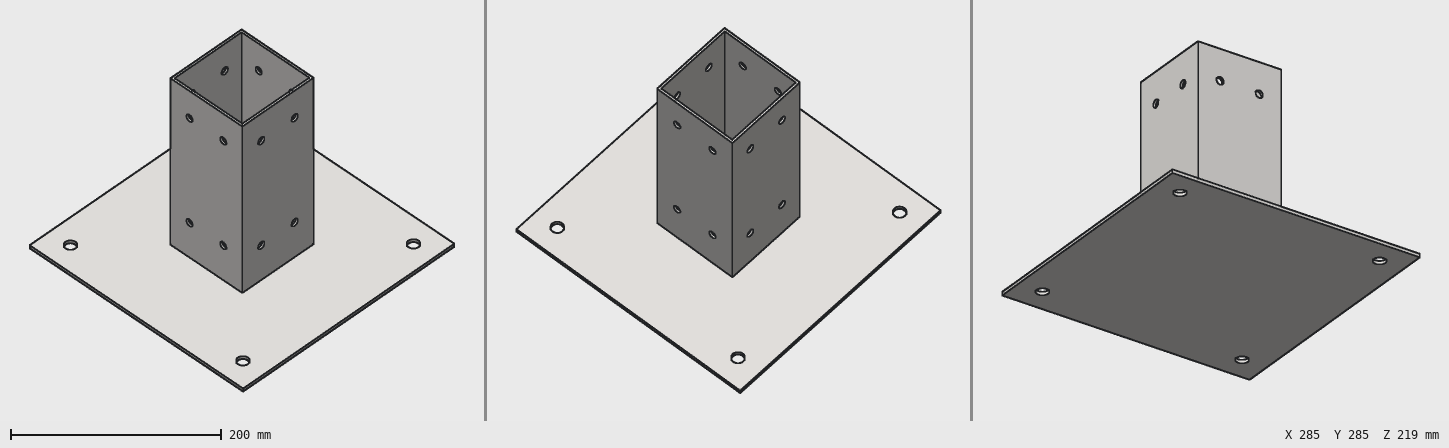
import cadquery as cq

plate_side = 285.0
plate_thickness = 4.0
anchor_spacing = 230.0
anchor_diameter = 13.0

total_height = 219.0
socket_side = 96.0
wall = 2.8
inner_side = socket_side - 2 * wall
socket_height = total_height - plate_thickness

bead_radius = 2.5

bolt_diameter_along_y = 8.3
bolt_diameter_along_x = 8.5
bolt_spacing = 45.0
bolt_row_spacing = 135.0
lower_row_height = 48.7
bolt_row_centre = lower_row_height + bolt_row_spacing / 2


def make_plate():
    return (
        cq.Workplane("XY")
        .box(plate_side, plate_side, plate_thickness, centered=(True, True, False))
        .faces(">Z").workplane()
        .rect(anchor_spacing, anchor_spacing, forConstruction=True)
        .vertices()
        .hole(anchor_diameter)
    )


def make_socket():
    return (
        cq.Workplane("XY", origin=(0, 0, plate_thickness))
        .rect(socket_side, socket_side)
        .rect(inner_side, inner_side)
        .extrude(socket_height)
    )


def make_bolt_holes(plane, diameter):
    """Four cylinders passing through both walls crossed by the plane normal."""
    return (
        cq.Workplane(plane, origin=(0, 0, bolt_row_centre))
        .rect(bolt_spacing, bolt_row_spacing, forConstruction=True)
        .vertices()
        .circle(diameter / 2)
        .extrude(socket_side, both=True)
    )


def make_corner_beads():
    """Spheres centred on the inner corners; only an eighth of each stays exposed."""
    return (
        cq.Workplane("XY", origin=(0, 0, plate_thickness))
        .rect(inner_side, inner_side, forConstruction=True)
        .vertices()
        .sphere(bead_radius, combine=False)
    )


socket = make_socket()
socket = socket.cut(make_bolt_holes("XZ", bolt_diameter_along_y))
socket = socket.cut(make_bolt_holes("YZ", bolt_diameter_along_x))

result = make_plate().union(socket).union(make_corner_beads())